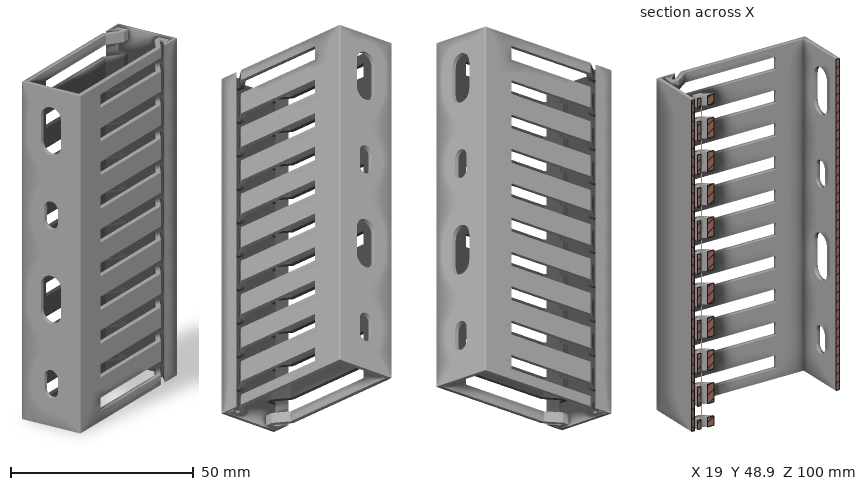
import cadquery as cq

length = 100.0
width = 19.0
depth = 48.9
half_width = width / 2

wall = 1.3
neck_inset = 3.2
hook_drop = 2.0
neck_outer_drop = 3.7
shoulder_outer_drop = 8.1
inner_bend_offset = 0.5
hook_tip_inset = 1.0
corner_radius = 0.3

slit_pitch = 10.0
slit_height = 4.0
slit_start = 10.2
slit_count = round(length / slit_pitch)
first_slit_z = slit_pitch / 2

hole_pitch = 50.0
hole_count = round(length / hole_pitch)
large_hole_width = 6.5
large_hole_length = 14.2
large_hole_first = 37.5
small_hole_width = 4.4
small_hole_length = 8.3
small_hole_first = 12.5

cover_plate = 1.1
cover_wall = 0.7
cover_lip_drop = 6.1
barb_tip_inset = 2.3
barb_tip_drop = 3.4
barb_tip_width = 0.9
barb_root_drop = 4.3


def mirrored_profile(left_side):
    """Extrude the outline formed by left-side points and their mirror images over the length."""
    right_side = [(-x, y) for x, y in reversed(left_side)]
    return cq.Workplane("XY").polyline(left_side + right_side).close().extrude(length)


def make_duct_profile():
    neck_x = -half_width + neck_inset
    hook_y = depth - hook_drop
    neck_outer_y = depth - neck_outer_drop
    shoulder_outer_y = depth - shoulder_outer_drop
    return mirrored_profile([
        (-half_width, 0),
        (-half_width, shoulder_outer_y),
        (neck_x, neck_outer_y),
        (neck_x, hook_y - wall),
        (-half_width + hook_tip_inset, hook_y - wall),
        (-half_width + hook_tip_inset, hook_y),
        (neck_x + wall, hook_y),
        (neck_x + wall, neck_outer_y - inner_bend_offset),
        (-half_width + wall, shoulder_outer_y - inner_bend_offset),
        (-half_width + wall, wall),
    ])


def round_front_corners(duct):
    """Round the two long outer edges beside the base."""
    return duct.faces("<Y").edges("|Z").fillet(corner_radius)


def cut_slits(duct):
    for index in range(slit_count):
        slit = (
            cq.Workplane("XY")
            .box(width, depth, slit_height, centered=(True, False, True))
            .translate((0, slit_start, first_slit_z + index * slit_pitch))
        )
        duct = duct.cut(slit)
    return duct


def cut_mounting_holes(duct, hole_width, hole_length, first_z):
    for index in range(hole_count):
        hole = (
            cq.Workplane("XZ")
            .center(0, first_z + index * hole_pitch)
            .slot2D(hole_length, hole_width, 90)
            .extrude(-wall)
        )
        duct = duct.cut(hole)
    return duct


def make_duct():
    duct = cut_slits(round_front_corners(make_duct_profile()))
    duct = cut_mounting_holes(duct, large_hole_width, large_hole_length, large_hole_first)
    return cut_mounting_holes(duct, small_hole_width, small_hole_length, small_hole_first)


def make_cover():
    barb_tip_x = -half_width + barb_tip_inset
    barb_tip_y = depth - barb_tip_drop
    return mirrored_profile([
        (-half_width, depth),
        (-half_width, depth - cover_lip_drop),
        (barb_tip_x, barb_tip_y),
        (barb_tip_x - barb_tip_width, barb_tip_y),
        (-half_width + cover_wall, depth - barb_root_drop),
        (-half_width + cover_wall, depth - cover_plate),
    ])


duct = make_duct()
cover = make_cover()
result = cq.Compound.makeCompound([duct.solids().val(), cover.solids().val()])